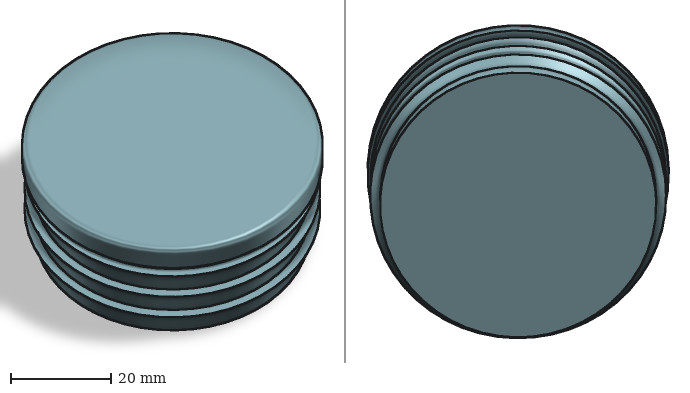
import cadquery as cq

cap_diameter = 60.0
total_height = 26.0

cap_thickness = 5.0
cap_edge_radius = 1.5

plug_diameter = 55.0

fin_diameter = 59.0
fin_height = 1.5
fin_pitch = 6.0
fin_count = 3


def make_cap():
    """Round cap with a rounded upper rim."""
    cap = (
        cq.Workplane("XY")
        .workplane(offset=total_height - cap_thickness)
        .circle(cap_diameter / 2)
        .extrude(cap_thickness)
    )
    return cap.faces(">Z").edges().fillet(cap_edge_radius)


def make_plug():
    """Plain cylinder reaching from the base up to the cap."""
    return cq.Workplane("XY").circle(plug_diameter / 2).extrude(total_height - cap_thickness)


def make_fin(top_z):
    """Conical fin whose flat, sharp-edged top lies at top_z."""
    base_z = top_z - fin_height
    return (
        cq.Workplane("XZ")
        .moveTo(0, base_z)
        .lineTo(plug_diameter / 2, base_z)
        .lineTo(fin_diameter / 2, top_z)
        .lineTo(0, top_z)
        .close()
        .revolve(360, (0, 0, 0), (0, 1, 0))
    )


result = make_plug().union(make_cap())
for fin_number in range(1, fin_count + 1):
    result = result.union(make_fin(fin_number * fin_pitch))